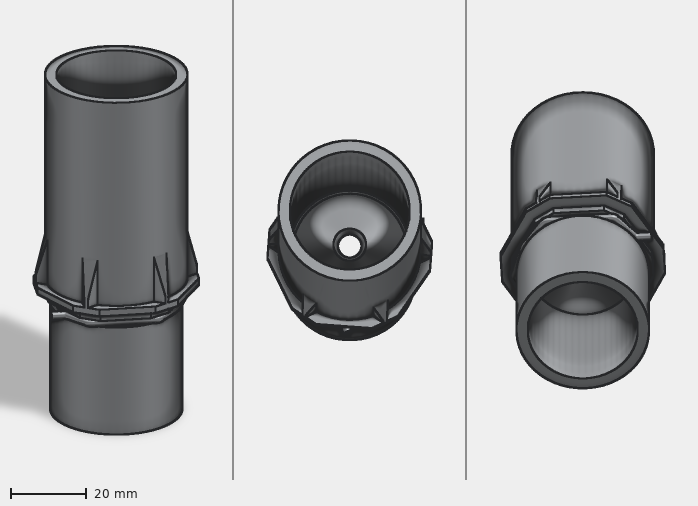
import cadquery as cq
import math

wall = 3.0

total_height = 96.0
lower_radius = 17.5
upper_radius = 18.8
upper_bore_radius = upper_radius - wall
lower_bore_radius = lower_radius - wall

groove_bottom = 30.8
groove_height = 2.2
groove_radius = 16.1
collar_bottom = groove_bottom + groove_height
flange_bottom = 35.7
flange_top = 37.6

flange_side_apothem = 20.5
flange_rib_apothem = 21.5
collar_inset = 3.0

rib_count = 6
rib_tip_width = 1.0
rib_flank_angle = 30.0
rib_tip_top = 39.8
rib_top = 50.3

ledge_level = flange_top
cone_base_radius = 15.0
cone_peak_radius = 4.3
cone_angle = 35.0
mouth_radius = 3.7
mouth_depth = 1.0
hole_radius = 2.6

wire_radius = groove_height / 2
clip_bend_radius = 1.5
clip_end = (-11.4, 17.7)
clip_kink = (-7.8, 15.6)
clip_shoulder = (0.0, 18.25)
clip_corner = (15.6, 9.25)
clip_nose = (17.1, 0.0)


def cylinder(radius, bottom, top):
    return cq.Workplane("XY").workplane(offset=bottom).circle(radius).extrude(top - bottom)


def hexagon(apothem, first_normal, bottom, top):
    """Hexagonal prism whose first flat faces the given direction in degrees."""
    corner_diameter = 2 * apothem / math.cos(math.radians(30))
    prism = cq.Workplane("XY").workplane(offset=bottom).polygon(6, corner_diameter).extrude(top - bottom)
    return prism.rotate((0, 0, 0), (0, 0, 1), first_normal - 30)


def twelve_sided_plate(inset, bottom, top):
    side_flats = hexagon(flange_side_apothem - inset, 0, bottom, top)
    rib_flats = hexagon(flange_rib_apothem - inset, 30, bottom, top)
    return side_flats.intersect(rib_flats)


def rib(angle):
    """Rib that narrows outward, its outer face coned in to meet the tube above the tip."""
    root_depth = upper_radius - wall / 2
    reach = flange_rib_apothem - root_depth
    half_tip = rib_tip_width / 2
    half_root = half_tip + reach * math.tan(math.radians(rib_flank_angle))
    plan = (
        cq.Workplane("XY")
        .workplane(offset=flange_top)
        .moveTo(root_depth, -half_root)
        .lineTo(flange_rib_apothem, -half_tip)
        .lineTo(flange_rib_apothem, half_tip)
        .lineTo(root_depth, half_root)
        .close()
        .extrude(rib_top - flange_top)
    )
    cone_run = (flange_rib_apothem - upper_radius) / (rib_top - rib_tip_top)
    cone_foot_radius = upper_radius + cone_run * (rib_top - flange_top)
    envelope = (
        cq.Workplane("XZ")
        .moveTo(0, flange_top)
        .lineTo(cone_foot_radius, flange_top)
        .lineTo(upper_radius, rib_top)
        .lineTo(0, rib_top)
        .close()
        .revolve(360, (0, 0, 0), (0, 1, 0))
    )
    return plan.intersect(envelope).rotate((0, 0, 0), (0, 0, 1), angle)


def upper_cavity():
    """Bore above the cone, including the tapered mouth and the hole through the peak."""
    slope = math.tan(math.radians(cone_angle))
    peak_level = ledge_level + (cone_base_radius - cone_peak_radius) * slope
    return (
        cq.Workplane("XZ")
        .moveTo(0, total_height)
        .lineTo(upper_bore_radius, total_height)
        .lineTo(upper_bore_radius, ledge_level)
        .lineTo(cone_base_radius, ledge_level)
        .lineTo(cone_peak_radius, peak_level)
        .lineTo(mouth_radius, peak_level - mouth_depth)
        .lineTo(hole_radius, peak_level - wall)
        .lineTo(hole_radius, 0)
        .lineTo(0, 0)
        .close()
        .revolve(360, (0, 0, 0), (0, 1, 0))
    )


def lower_cavity():
    """Bore below the cone, with a conical roof parallel to the cone."""
    slope = math.tan(math.radians(cone_angle))
    roof_edge = ledge_level + (cone_base_radius - lower_bore_radius) * slope - wall
    roof_peak = roof_edge + (lower_bore_radius - hole_radius) * slope
    return (
        cq.Workplane("XZ")
        .lineTo(lower_bore_radius, 0)
        .lineTo(lower_bore_radius, roof_edge)
        .lineTo(hole_radius, roof_peak)
        .lineTo(0, roof_peak)
        .close()
        .revolve(360, (0, 0, 0), (0, 1, 0))
    )


def build_housing(clip):
    shell = cylinder(lower_radius, 0, groove_bottom)
    shell = shell.union(cylinder(groove_radius, groove_bottom, collar_bottom))
    shell = shell.union(twelve_sided_plate(collar_inset, collar_bottom, flange_bottom))
    shell = shell.union(twelve_sided_plate(0, flange_bottom, flange_top))
    shell = shell.union(cylinder(upper_radius, flange_top, total_height))
    for index in range(rib_count):
        shell = shell.union(rib(30 + index * 360 / rib_count))
    return shell.cut(upper_cavity()).cut(lower_cavity()).cut(clip)


def toward(start, end, distance):
    """Point at a distance from start on the way to end."""
    ratio = distance / math.dist(start, end)
    return (start[0] + (end[0] - start[0]) * ratio, start[1] + (end[1] - start[1]) * ratio)


def add_bend(path, before, corner, after):
    """Run straight to a corner and round it with a tangent arc."""
    way_in = math.atan2(corner[1] - before[1], corner[0] - before[0])
    way_out = math.atan2(after[1] - corner[1], after[0] - corner[0])
    turn = abs(math.remainder(way_out - way_in, math.tau))
    setback = clip_bend_radius * math.tan(turn / 2)
    arc_end = toward(corner, after, setback)
    return path.lineTo(*toward(corner, before, setback)).tangentArcPoint(arc_end, relative=False)


def build_clip():
    near_side = [clip_end, clip_kink, clip_shoulder, clip_corner]
    far_side = [(x, -y) for x, y in reversed(near_side)]
    corners = near_side + [clip_nose] + far_side
    mid_level = groove_bottom + wire_radius
    path = cq.Workplane("XY").workplane(offset=mid_level).moveTo(*corners[0])
    for before, corner, after in zip(corners, corners[1:], corners[2:]):
        path = add_bend(path, before, corner, after)
    path = path.lineTo(*corners[-1])
    start_plane = cq.Plane(
        origin=(clip_end[0], clip_end[1], mid_level),
        xDir=(0, 0, 1),
        normal=(clip_kink[0] - clip_end[0], clip_kink[1] - clip_end[1], 0),
    )
    return cq.Workplane(start_plane).circle(wire_radius).sweep(path)


clip = build_clip()
housing = build_housing(clip)

result = cq.Compound.makeCompound([*housing.solids().vals(), clip.val()])